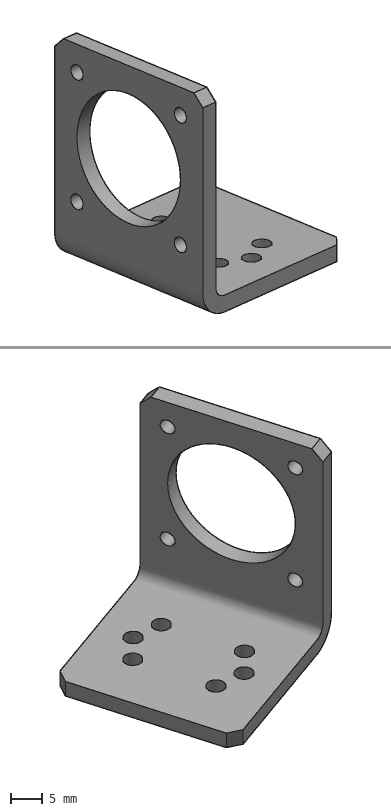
import cadquery as cq

width = 33.0
depth = 33.0
height = 40.0
thickness = 3.0
inner_bend_radius = 2.0
outer_bend_radius = inner_bend_radius + thickness
corner_chamfer = 2.0

bore_diameter = 23.0
screw_spacing = 23.0
screw_diameter = 2.7
bore_height = height - width / 2

mount_diameter = 3.2
mount_center_y = 18.0
mount_pair_spacing = 20.0
mount_grid_x = 15.0
mount_grid_y = 10.0


def bent_plate():
    """L-shaped plate, centered on X, with the upright's front face on Y = 0."""
    profile = (
        cq.Workplane("YZ")
        .moveTo(depth, 0)
        .lineTo(outer_bend_radius, 0)
        .radiusArc((0, outer_bend_radius), outer_bend_radius)
        .lineTo(0, height)
        .lineTo(thickness, height)
        .lineTo(thickness, outer_bend_radius)
        .radiusArc((outer_bend_radius, thickness), -inner_bend_radius)
        .lineTo(depth, thickness)
        .close()
    )
    return profile.extrude(width / 2, both=True)


def chamfer_free_corners(body):
    """Cut the two free corners of each plate."""
    body = body.faces(">Z").edges("|Y").chamfer(corner_chamfer)
    return body.faces(">Y").edges("|Z").chamfer(corner_chamfer)


def upright_holes():
    """Cutters for the bore and the four screw holes, running along Y."""
    plane = cq.Workplane("XZ", origin=(0, thickness, bore_height))
    bore = plane.circle(bore_diameter / 2).extrude(thickness)
    screws = (
        plane.rarray(screw_spacing, screw_spacing, 2, 2)
        .circle(screw_diameter / 2)
        .extrude(thickness)
    )
    return bore.union(screws)


def base_holes():
    """Cutters for the four grid holes and the wider center pair, running along Z."""
    plane = cq.Workplane("XY", origin=(0, mount_center_y, 0))
    grid = (
        plane.rarray(mount_grid_x, mount_grid_y, 2, 2)
        .circle(mount_diameter / 2)
        .extrude(thickness)
    )
    pair = (
        plane.rarray(mount_pair_spacing, 0.4, 2, 1)
        .circle(mount_diameter / 2)
        .extrude(thickness)
    )
    return grid.union(pair)


bracket = chamfer_free_corners(bent_plate())
result = bracket.cut(upright_holes()).cut(base_holes())